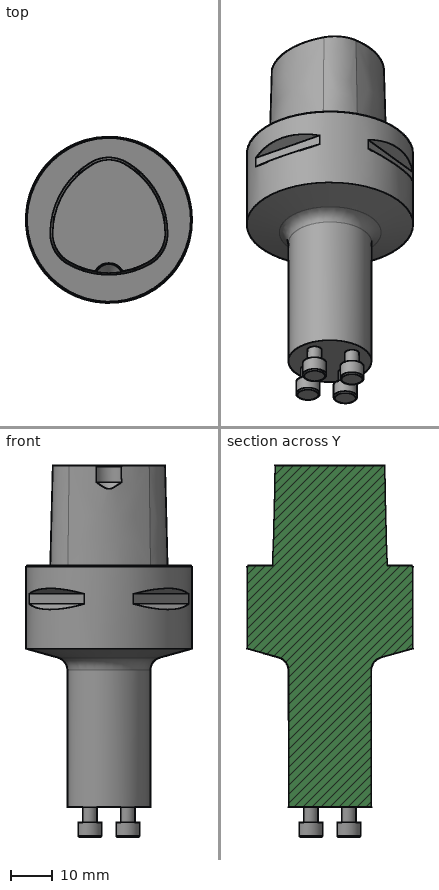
import cadquery as cq
import math

shank_height = 24.0
flange_height = 20.0
neck_end = -58.0
overall_length = 89.2
part_end = shank_height - overall_length

flange_radius = 40.0 / 2
neck_radius = 20.0 / 2
flange_chamfer = 0.4
cone_angle = math.radians(15.5)
neck_fillet = 3.0

lobe_center = 6.6
lobe_base_radius = 8.4
lobe_half_span = 30
lobe_angles = [90, 210, 330]
shank_taper = 1 / 40

notch_radius = 3.4
notch_axis_y = -14.0
notch_depth = 4.0
notch_tip_angle = math.radians(37)
notch_chamfer = 0.3

groove_floor_distance = 17.7
groove_floor_width = 2.4
groove_flank_angle = math.radians(30)
groove_z = -8.0
groove_angles = [45, 135, 225, 315]

screw_offset = 4.55
stem_radius = 3.5 / 2
head_radius = 5.7 / 2
head_height = 3.6
head_chamfer = 0.4


def polar(radius, degrees):
    """Point at the given distance and direction in the XY plane."""
    angle = math.radians(degrees)
    return cq.Vector(radius * math.cos(angle), radius * math.sin(angle))


def make_body():
    """Flange, cone and neck turned as one profile about Z."""
    cone_drop = (flange_radius - neck_radius) * math.tan(cone_angle)
    root_z = -flange_height - cone_drop
    profile = (
        cq.Workplane("XZ")
        .polyline([
            (0, 0),
            (flange_radius, 0),
            (flange_radius, -flange_height),
            (neck_radius, root_z),
            (neck_radius, neck_end),
            (0, neck_end),
        ])
        .close()
    )
    body = profile.revolve(360, (0, 0), (0, 1))
    body = body.faces(">Z").edges().chamfer(flange_chamfer)
    root = cq.selectors.BoxSelector(
        (-flange_radius, -flange_radius, root_z - 0.9),
        (flange_radius, flange_radius, root_z + 0.9),
        boundingbox=True,
    )
    return body.edges(root).fillet(neck_fillet)


def lobed_outline(height):
    """Closed wire of three lobe arcs joined by three tangent flank arcs."""
    lobe_radius = lobe_base_radius - shank_taper * height
    flank_radius = lobe_radius + lobe_center * math.sqrt(3)
    edges = []
    for lobe_angle in lobe_angles:
        lobe = polar(lobe_center, lobe_angle)
        start, middle, end = [
            lobe + polar(lobe_radius, lobe_angle + turn)
            for turn in (-lobe_half_span, 0, lobe_half_span)
        ]
        edges.append(cq.Edge.makeThreePointArc(start, middle, end))
        flank_angle = lobe_angle + 2 * lobe_half_span
        flank_center = polar(lobe_center, flank_angle + 180)
        flank_middle = flank_center + polar(flank_radius, flank_angle)
        flank_end = flank_center + polar(flank_radius, flank_angle + lobe_half_span)
        edges.append(cq.Edge.makeThreePointArc(end, flank_middle, flank_end))
    return cq.Wire.assembleEdges(edges).translate(cq.Vector(0, 0, height))


def make_shank():
    """Shank narrowing steadily from the flange face to its top."""
    outlines = [lobed_outline(0), lobed_outline(shank_height)]
    return cq.Workplane(cq.Solid.makeLoft(outlines, True))


def make_notch():
    """Drill shape with a pointed bottom and a chamfered mouth, parallel to Z."""
    floor = shank_height - notch_depth
    tip = floor - notch_radius * math.tan(notch_tip_angle)
    return (
        cq.Workplane("XZ")
        .polyline([
            (0, tip),
            (notch_radius, floor),
            (notch_radius, shank_height - notch_chamfer),
            (notch_radius + notch_chamfer, shank_height),
            (0, shank_height),
        ])
        .close()
        .revolve(360, (0, 0), (0, 1))
        .translate((0, notch_axis_y, 0))
    )


def make_groove(angle):
    """Straight groove with a flat floor and flared flanks, facing the given direction."""
    half_floor = groove_floor_width / 2
    depth = flange_radius - groove_floor_distance
    half_mouth = half_floor + depth * math.tan(groove_flank_angle)
    return (
        cq.Workplane("XZ")
        .polyline([
            (groove_floor_distance, groove_z - half_floor),
            (flange_radius, groove_z - half_mouth),
            (flange_radius, groove_z + half_mouth),
            (groove_floor_distance, groove_z + half_floor),
        ])
        .close()
        .extrude(flange_radius, both=True)
        .rotate((0, 0, 0), (0, 0, 1), angle)
    )


def make_screws():
    """Four screws below the neck, with chamfered heads."""
    offsets = (-screw_offset, screw_offset)
    corners = [(x, y) for x in offsets for y in offsets]
    stems = (
        cq.Workplane("XY", origin=(0, 0, part_end))
        .pushPoints(corners)
        .circle(stem_radius)
        .extrude(neck_end - part_end)
    )
    heads = (
        cq.Workplane("XY", origin=(0, 0, part_end))
        .pushPoints(corners)
        .circle(head_radius)
        .extrude(head_height)
        .faces("<Z")
        .edges()
        .chamfer(head_chamfer)
    )
    return stems.union(heads)


result = make_body().union(make_shank()).cut(make_notch())
for groove_angle in groove_angles:
    result = result.cut(make_groove(groove_angle))
result = result.union(make_screws())